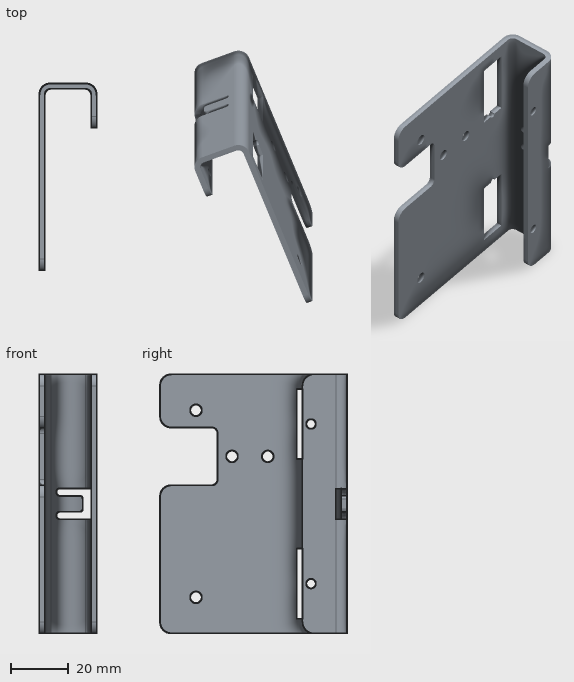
import cadquery as cq

width = 20.0
depth = 65.0
height = 90.0
thickness = 2.0
bend_radius = 2 * thickness
inner_bend_radius = bend_radius - thickness
flange_depth = 15.5
corner_radius = 4.0

notch_floor = 45.0
notch_top = 71.5
notch_bottom = 51.5
notch_radius = 2.0

window_start = 7.7
window_end = 17.5
window_outer_inset = 5.1
window_inner_inset = 29.4
relief_radius = 1.0

plate_hole_diameter = 4.0
edge_hole_offset = 52.5
edge_hole_inset = 12.5
pair_hole_offsets = (27.5, 40.0)
pair_hole_height = (notch_top + notch_bottom) / 2
flange_hole_diameter = 3.2
flange_hole_offset = 12.5
flange_hole_inset = (window_outer_inset + window_inner_inset) / 2

tongue_root = 6.0
tongue_tip = 15.1
tongue_height = 5.6
slot_height = 2.5
slot_end_radius = 1.1
tongue_radius = 1.0

mid_height = height / 2


def box(x_range, y_range, z_range):
    """Box between the given limits; Y is measured from the web's outer face into the part."""
    size = [limits[1] - limits[0] for limits in (x_range, y_range, z_range)]
    return (
        cq.Workplane("XY")
        .box(*size, centered=False)
        .translate((x_range[0], -y_range[1], z_range[0]))
    )


def x_cylinder(diameter, offset, z, x_start):
    """Cutter one sheet thickness long, running along X from x_start."""
    return (
        cq.Workplane("YZ", origin=(x_start, -offset, z))
        .circle(diameter / 2)
        .extrude(thickness)
    )


def bent_channel():
    """Large plate, web and short flange joined by two round bends."""
    outside = box((0, width), (0, depth), (0, height)).edges("|Z and >Y").fillet(bend_radius)
    inside = (
        box((thickness, width - thickness), (thickness, depth), (0, height))
        .edges("|Z and >Y")
        .fillet(inner_bend_radius)
    )
    beyond_flange = box((width - thickness, width), (flange_depth, depth), (0, height))
    return outside.cut(inside).cut(beyond_flange)


def notch_cutter():
    """Notch with rounded floor corners, open at the plate's free edge."""
    return (
        box((0, thickness), (notch_floor, depth), (notch_bottom, notch_top))
        .edges("|X and >Y")
        .fillet(notch_radius)
    )


def window_cutter(is_upper):
    """Window with a half-round relief on the edge nearest mid-height."""
    window = box((0, thickness), (window_start, window_end), (window_outer_inset, window_inner_inset))
    relief = x_cylinder(2 * relief_radius, flange_hole_offset, window_inner_inset, 0)
    cutter = window.union(relief)
    return cutter.mirror("XY").translate((0, 0, height)) if is_upper else cutter


def tongue_cutter():
    """U-shaped opening around the tongue, carried through the flange bend."""
    half_opening = tongue_height / 2 + slot_height
    half_tongue = tongue_height / 2
    opening = box(
        (tongue_root, width),
        (0, bend_radius),
        (mid_height - half_opening, mid_height + half_opening),
    )
    tongue = (
        box((tongue_root, tongue_tip), (0, bend_radius), (mid_height - half_tongue, mid_height + half_tongue))
        .edges("|Y and >X")
        .fillet(tongue_radius)
    )
    return opening.cut(tongue).edges("|Y and <X").fillet(slot_end_radius)


def round_corner(body, offset, z, x):
    """Round the sheet corner that passes through the given point."""
    point = cq.selectors.NearestToPointSelector((x, -offset, z))
    return body.edges("|X").edges(point).fillet(corner_radius)


result = bent_channel().cut(notch_cutter())

for corner_height in (0, notch_bottom, notch_top, height):
    result = round_corner(result, depth, corner_height, thickness / 2)
for corner_height in (0, height):
    result = round_corner(result, flange_depth, corner_height, width - thickness / 2)

for hole_height in (edge_hole_inset, height - edge_hole_inset):
    result = result.cut(x_cylinder(plate_hole_diameter, edge_hole_offset, hole_height, 0))

for hole_offset in pair_hole_offsets:
    result = result.cut(x_cylinder(plate_hole_diameter, hole_offset, pair_hole_height, 0))

for hole_height in (flange_hole_inset, height - flange_hole_inset):
    result = result.cut(
        x_cylinder(flange_hole_diameter, flange_hole_offset, hole_height, width - thickness)
    )
    result = result.cut(window_cutter(is_upper=hole_height > mid_height))

result = result.cut(tongue_cutter())